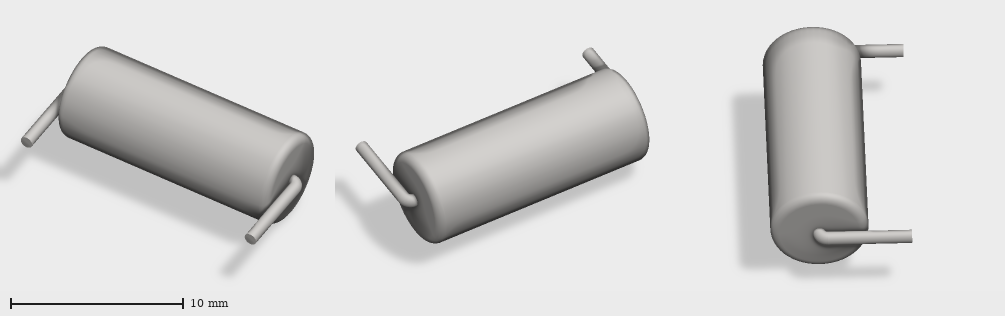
import cadquery as cq

overall_length = 15.99
overall_depth = 8.2

body_diameter = 5.71
body_length = 14.33
body_edge_radius = 0.5

lead_diameter = 0.77
bend_radius = 0.46

lead_x = (overall_length - lead_diameter) / 2
lead_end_y = body_diameter / 2 - overall_depth
bend_start_x = lead_x - bend_radius
embed_depth = lead_diameter


def make_body():
    """Solid cylinder with rounded end edges."""
    return (
        cq.Workplane("YZ", origin=(-body_length / 2, 0, 0))
        .circle(body_diameter / 2)
        .extrude(body_length)
        .edges("%CIRCLE")
        .fillet(body_edge_radius)
    )


def make_lead():
    """Wire leaving the +X end on the axis and turning toward -Y."""
    wire_start_x = bend_start_x - embed_depth
    path = (
        cq.Workplane("XY")
        .moveTo(wire_start_x, 0)
        .lineTo(bend_start_x, 0)
        .radiusArc((lead_x, -bend_radius), bend_radius)
        .lineTo(lead_x, lead_end_y)
    )
    return (
        cq.Workplane("YZ", origin=(wire_start_x, 0, 0))
        .circle(lead_diameter / 2)
        .sweep(path)
    )


lead = make_lead()
result = make_body().union(lead).union(lead.mirror("YZ"))